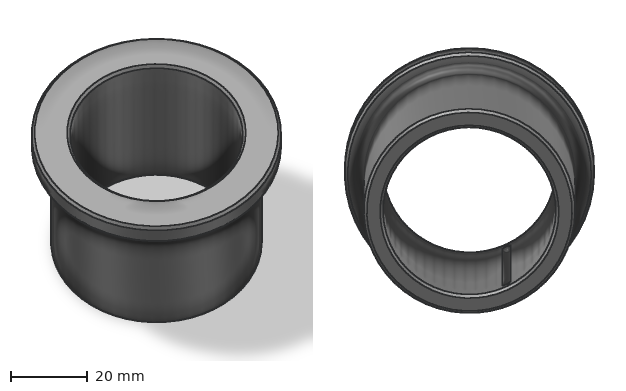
import cadquery as cq

flange_diameter = 65
body_diameter = 55.0
bore_diameter = 45.0
height = 45.0
flange_thickness = 6.0

edge_chamfer = 0.8
neck_fillet = 2.5

groove_radius = 1.25
groove_end_gap = 3.0


def make_sleeve():
    """Body and flange, joined by a filleted neck, with chamfered outer rims."""
    body_height = height - flange_thickness
    body = cq.Workplane("XY").circle(body_diameter / 2).extrude(height)
    flange = (
        cq.Workplane("XY", origin=(0, 0, body_height))
        .circle(flange_diameter / 2)
        .extrude(flange_thickness)
        .edges()
        .chamfer(edge_chamfer)
    )
    neck_corner = cq.selectors.RadiusNthSelector(0)
    return (
        body.union(flange)
        .faces("<Z[1]")
        .edges(neck_corner)
        .fillet(neck_fillet)
        .faces("<Z")
        .edges()
        .chamfer(edge_chamfer)
    )


def make_bore():
    """Through bore widened by a chamfer at each mouth."""
    bore_radius = bore_diameter / 2
    mouth_radius = bore_radius + edge_chamfer
    return (
        cq.Workplane("XZ")
        .lineTo(mouth_radius, 0)
        .lineTo(bore_radius, edge_chamfer)
        .lineTo(bore_radius, height - edge_chamfer)
        .lineTo(mouth_radius, height)
        .lineTo(0, height)
        .close()
        .revolve(360, (0, 0, 0), (0, 1, 0))
    )


def make_groove():
    """Round-bottomed groove with ball ends, stopping short of both ends of the bore."""
    lower_center = groove_end_gap + groove_radius
    upper_center = height - lower_center
    groove = (
        cq.Workplane("XY", origin=(bore_diameter / 2, 0, lower_center))
        .circle(groove_radius)
        .extrude(upper_center - lower_center)
    )
    for end_center in (lower_center, upper_center):
        ball = cq.Workplane("XY", origin=(bore_diameter / 2, 0, end_center)).sphere(groove_radius)
        groove = groove.union(ball)
    return groove


result = make_sleeve().cut(make_bore()).cut(make_groove())